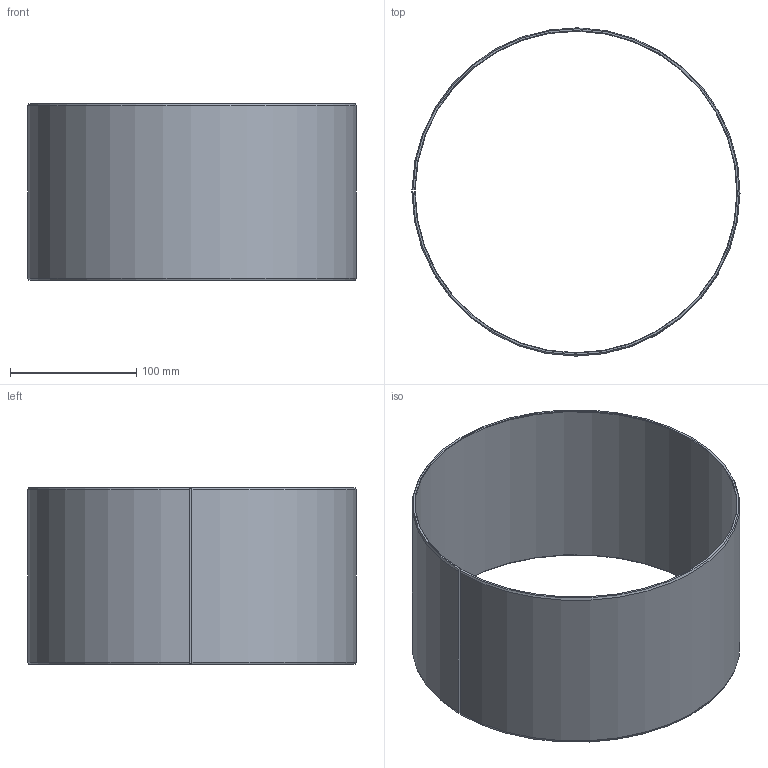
import cadquery as cq

outer_diameter = 260.0
height = 140.0
wall = 2.5
outer_bevel_inset = 0.7
outer_bevel_height = 1.8
inner_bevel_inset = 0.35
inner_bevel_height = 0.6
slit_angle = 0.9

outer_radius = outer_diameter / 2
inner_radius = outer_radius - wall
outer_rim_radius = outer_radius - outer_bevel_inset
inner_rim_radius = inner_radius + inner_bevel_inset


def make_wall_section():
    """Wall cross-section on the -X side, with all four corners bevelled."""
    outline = [
        (-inner_rim_radius, 0),
        (-outer_rim_radius, 0),
        (-outer_radius, outer_bevel_height),
        (-outer_radius, height - outer_bevel_height),
        (-outer_rim_radius, height),
        (-inner_rim_radius, height),
        (-inner_radius, height - inner_bevel_height),
        (-inner_radius, inner_bevel_height),
    ]
    return cq.Workplane("XZ").polyline(outline).close()


def make_split_band():
    """Thin band standing on the XY plane, split by a full-height slit.

    The sweep about Z starts on the -X axis and stops just short of a full
    turn, which leaves the slit on the +Y side of that axis.
    """
    sweep_angle = 360 - slit_angle
    axis_start = (0, 0)
    axis_end = (0, 1)
    return make_wall_section().revolve(sweep_angle, axis_start, axis_end)


result = make_split_band()